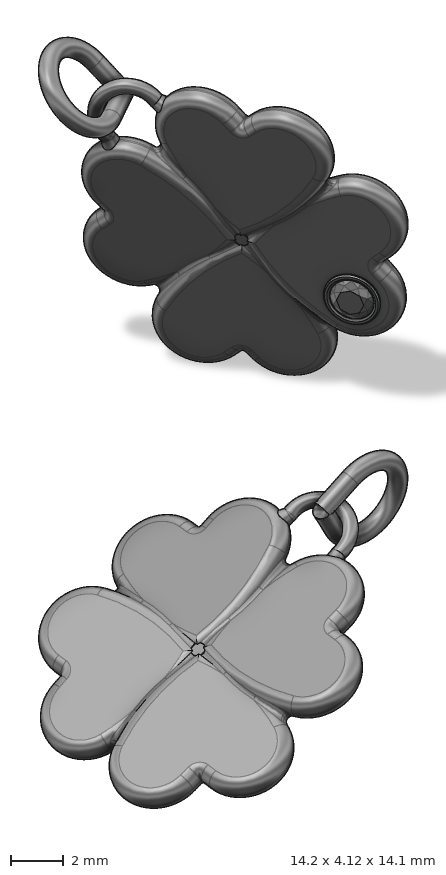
import cadquery as cq
import math


LEAF_COUNT = 4
UPPER_LEAF = 0
RIGHT_LEAF = 1
LEFT_LEAF = 3
LEAF_THICKNESS = 1.06
LEAF_ROUNDING = 0.5
LEAF_TWIST = 3.8
CLOVER_REACH = 6.39
LOBE_RADIUS = 1.9
LOBE_OFFSET = 1.68
LOBE_DISTANCE = CLOVER_REACH - LOBE_RADIUS
LOBE_END_ANGLE = 135
SIDE_ANGLE = -25
SIDE_BULGE = 0.37
TIP_DISTANCE = -0.03
NOTCH_ROUNDING = 0.04
HUB_RADIUS = 0.28
HUB_HALF_THICKNESS = 0.44
VALLEY_ROUNDING = 0.21
VALLEY_HALF_WIDTH = 0.23

LOOP_RADIUS = 1.29
LOOP_WIRE_RADIUS = 0.3
LOOP_X = -4.57
LOOP_Z = 4.62
LOOP_TILT = 11
LOOP_HALF_SWEEP = 98
FOOT_LENGTH = 0.71
FOOT_END_RADIUS = 0.47

RING_WIRE_RADIUS = 0.38
RING_RADIUS = 1.68
RING_CORNER_SPAN = 87.5
RING_X = -6.23
RING_Y = -0.78
RING_Z = 6.18

GEM_SIDES = 8
GEM_DISTANCE = 4.45
TABLE_RADIUS = 0.54
STAR_RADIUS = 0.72
GIRDLE_RADIUS = 0.88
TABLE_HEIGHT = 0.28
GIRDLE_HEIGHT = 0.07
GIRDLE_THICKNESS = 0.04
PAVILION_DEPTH = 0.64
BEZEL_RADIUS = 1.12
BEZEL_HEIGHT = 0.13
BEZEL_CHAMFER = 0.05
BEZEL_LIP_RADIUS = 0.97


def polar(radius, angle):
    """Point at a radius and an angle in degrees."""
    return radius * math.cos(math.radians(angle)), radius * math.sin(math.radians(angle))


def place_on_clover(body, index):
    """Twist a body made in the upright leaf's frame and turn it to the given leaf."""
    twisted = body.rotate((0, 0, 0), (0, 0, 1), -LEAF_TWIST)
    return twisted.rotate((0, 0, 0), (0, 1, 0), index * 360 / LEAF_COUNT)


def lobe_centre(across, index):
    """Centre of the lobe at a sideways offset on the given leaf."""
    upright = cq.Vertex.makeVertex(across, 0, LOBE_DISTANCE)
    return place_on_clover(upright, index).Center()


def on_right_lobe(angle):
    """Point on the right lobe's circle."""
    across, along = polar(LOBE_RADIUS, angle)
    return LOBE_OFFSET + across, LOBE_DISTANCE + along


def mirrored(point):
    """The same point on the other side of the leaf axis."""
    return -point[0], point[1]


def make_leaf():
    tip = (0, TIP_DISTANCE)
    side_start = on_right_lobe(SIDE_ANGLE)
    lobe_middle = on_right_lobe((SIDE_ANGLE + LOBE_END_ANGLE) / 2)
    lobe_end = on_right_lobe(LOBE_END_ANGLE)
    notch = (0, lobe_end[1] - lobe_end[0])
    outline = (
        cq.Workplane("XZ")
        .moveTo(*tip)
        .sagittaArc(side_start, -SIDE_BULGE)
        .threePointArc(lobe_middle, lobe_end)
        .lineTo(*notch)
        .lineTo(*mirrored(lobe_end))
        .threePointArc(mirrored(lobe_middle), mirrored(side_start))
        .sagittaArc(tip, -SIDE_BULGE)
        .close()
    )
    blank = outline.extrude(LEAF_THICKNESS / 2, both=True)
    notch_edge = cq.selectors.NearestToPointSelector((0, 0, notch[1]))
    blank = blank.edges(notch_edge).fillet(NOTCH_ROUNDING)
    return blank.faces("|Y").edges().fillet(LEAF_ROUNDING)


def make_loop():
    outward = cq.Vector(-1, 0, 1)
    flat = math.cos(math.radians(LOOP_TILT)) * math.sqrt(0.5)
    sideways = cq.Vector(flat, math.sin(math.radians(LOOP_TILT)), flat)
    centre = cq.Vector(LOOP_X, 0, LOOP_Z)
    plane = cq.Plane(origin=centre, xDir=outward, normal=outward.cross(sideways))

    start = polar(LOOP_RADIUS, -LOOP_HALF_SWEEP)
    end = polar(LOOP_RADIUS, LOOP_HALF_SWEEP)
    path = cq.Workplane(plane).moveTo(*start).threePointArc((LOOP_RADIUS, 0), end)
    path_start = path.val().startPoint()
    path_tangent = path.val().tangentAt(0)
    wire = cq.Workplane(cq.Plane(origin=path_start, normal=path_tangent))
    loop = wire.circle(LOOP_WIRE_RADIUS).sweep(path)

    upper_lobe = lobe_centre(-LOBE_OFFSET, UPPER_LEAF)
    left_lobe = lobe_centre(LOBE_OFFSET, LEFT_LEAF)
    for point, target in ((start, left_lobe), (end, upper_lobe)):
        joint = plane.toWorldCoords(point)
        knuckle = cq.Workplane("XY").sphere(LOOP_WIRE_RADIUS).translate(joint)
        foot = cq.Solid.makeCone(LOOP_WIRE_RADIUS, FOOT_END_RADIUS, FOOT_LENGTH, joint, target - joint)
        loop = loop.union(knuckle).union(foot)
    return loop


def is_valley_edge(edge):
    """True for the edges along the diagonals, outside the hub, where two leaves meet."""
    middle = edge.Center()
    off_diagonal = abs(abs(middle.x) - abs(middle.z))
    return off_diagonal < VALLEY_HALF_WIDTH and math.hypot(middle.x, middle.z) > 2 * HUB_RADIUS


def make_clover():
    leaves = cq.Workplane("XZ").circle(HUB_RADIUS).extrude(HUB_HALF_THICKNESS, both=True)
    for index in range(LEAF_COUNT):
        leaves = leaves.union(place_on_clover(make_leaf(), index))
    leaves = leaves.edges().filter(is_valley_edge).fillet(VALLEY_ROUNDING)
    return leaves.union(make_loop())


def make_jump_ring():
    centre = (RING_X, RING_Y, RING_Z)
    plane = cq.Plane(origin=centre, xDir=(1, 0, -1), normal=(1, 0, 1))
    path = (
        cq.Workplane(plane)
        .moveTo(RING_RADIUS, 0)
        .lineTo(RING_RADIUS, RING_RADIUS * math.tan(math.radians(RING_CORNER_SPAN / 2)))
        .lineTo(*polar(RING_RADIUS, RING_CORNER_SPAN))
        .threePointArc(polar(RING_RADIUS, 180 + RING_CORNER_SPAN / 2), (RING_RADIUS, 0))
        .close()
    )
    section_plane = cq.Plane(origin=plane.toWorldCoords((RING_RADIUS, 0)), normal=(0, 1, 0))
    return cq.Workplane(section_plane).circle(RING_WIRE_RADIUS).sweep(path, transition="round")


def make_gem():
    half_step = 180 / GEM_SIDES
    front = LEAF_THICKNESS / 2

    def ring_of_points(radius, height, count, first_angle):
        """Evenly spaced points about the gem's axis, at a height above the leaf's front face."""
        points = []
        for index in range(count):
            across, along = polar(radius, first_angle + index * 360 / count)
            points.append(cq.Vector(LOBE_OFFSET + across, -front - height, GEM_DISTANCE + along))
        return points

    star_reach = STAR_RADIUS * math.cos(math.radians(half_step))
    star_share = (star_reach - TABLE_RADIUS) / (GIRDLE_RADIUS - TABLE_RADIUS)
    star_height = TABLE_HEIGHT + star_share * (GIRDLE_HEIGHT - TABLE_HEIGHT)
    table = ring_of_points(TABLE_RADIUS, TABLE_HEIGHT, GEM_SIDES, 0)
    stars = ring_of_points(STAR_RADIUS, star_height, GEM_SIDES, half_step)
    girdle = ring_of_points(GIRDLE_RADIUS, GIRDLE_HEIGHT, 2 * GEM_SIDES, 0)
    lower_girdle = ring_of_points(GIRDLE_RADIUS, GIRDLE_HEIGHT - GIRDLE_THICKNESS, 2 * GEM_SIDES, 0)
    culet = cq.Vector(LOBE_OFFSET, PAVILION_DEPTH - front, GEM_DISTANCE)

    facets = [table]
    for index in range(GEM_SIDES):
        kite_tip = girdle[2 * index]
        between = girdle[2 * index + 1]
        next_tip = girdle[(2 * index + 2) % len(girdle)]
        next_table = table[(index + 1) % GEM_SIDES]
        facets.append([table[index], stars[index], next_table])
        facets.append([table[index], stars[index - 1], kite_tip, stars[index]])
        facets.append([stars[index], kite_tip, between])
        facets.append([stars[index], between, next_tip])
    for index in range(len(girdle)):
        facets.append([girdle[index - 1], girdle[index], lower_girdle[index], lower_girdle[index - 1]])
        facets.append([lower_girdle[index - 1], lower_girdle[index], culet])
    faces = [cq.Face.makeFromWires(cq.Wire.makePolygon(facet, close=True)) for facet in facets]
    gem = cq.Solid.makeSolid(cq.Shell.makeShell(faces))
    return place_on_clover(cq.Workplane(gem), RIGHT_LEAF)


def make_bezel():
    profile = [
        (GIRDLE_RADIUS, 0),
        (BEZEL_RADIUS, 0),
        (BEZEL_RADIUS, BEZEL_HEIGHT - BEZEL_CHAMFER),
        (BEZEL_RADIUS - BEZEL_CHAMFER, BEZEL_HEIGHT),
        (BEZEL_LIP_RADIUS, BEZEL_HEIGHT),
        (GIRDLE_RADIUS, GIRDLE_HEIGHT),
    ]
    ring = cq.Workplane("XY").polyline(profile).close().revolve(360, (0, 0, 0), (0, 1, 0))
    ring = ring.rotate((0, 0, 0), (1, 0, 0), 180)
    ring = ring.translate((LOBE_OFFSET, -LEAF_THICKNESS / 2, GEM_DISTANCE))
    return place_on_clover(ring, RIGHT_LEAF)


gem = make_gem()
bezel = make_bezel()
clover = make_clover().cut(gem)
jump_ring = make_jump_ring()

result = cq.Compound.makeCompound([clover.solids().val(), jump_ring.val(), bezel.val(), gem.val()])